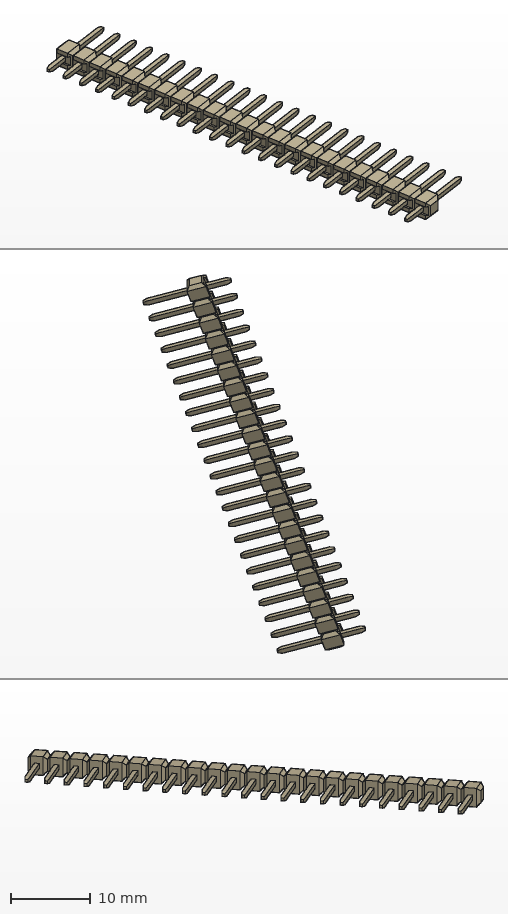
import cadquery as cq

strip_length = 58.4
pin_count = 23
pitch = strip_length / pin_count

body_size = 2.5
block_chamfer = 0.455
channel_height = 1.3
channel_depth = 0.28

pin_width = 0.65
pin_taper = 0.6
pin_inset = 0.13
pin_length = 11.55
short_pin_reach = 3.05

body_front = -body_size / 2
pin_centre_y = body_front - short_pin_reach + pin_length / 2


def tapered_bar(length, width, taper, inset):
    """Square bar along X, centred on the origin, tapering at both ends."""
    straight_length = length - 2 * taper
    end_width = width - 2 * inset
    end = (
        cq.Workplane("YZ", origin=(straight_length / 2, 0, 0))
        .rect(width, width)
        .workplane(offset=taper)
        .rect(end_width, end_width)
        .loft(ruled=True)
    )
    middle = cq.Workplane("XY").box(straight_length, width, width)
    return middle.union(end).union(end.mirror("YZ"))


def position():
    """One position of the strip: a body block with its channel and its pin."""
    block = tapered_bar(pitch, body_size, block_chamfer, block_chamfer)
    channel = (
        cq.Workplane("XY")
        .box(pitch, 2 * channel_depth, channel_height)
        .translate((0, body_front, 0))
    )
    pin = (
        tapered_bar(pin_length, pin_width, pin_taper, pin_inset)
        .rotate((0, 0, 0), (0, 0, 1), 90)
        .translate((0, pin_centre_y, 0))
    )
    return block.cut(channel).union(pin)


first_x = (pitch - strip_length) / 2
single = position()
result = single.translate((first_x, 0, 0))
for index in range(1, pin_count):
    result = result.union(single.translate((first_x + index * pitch, 0, 0)))